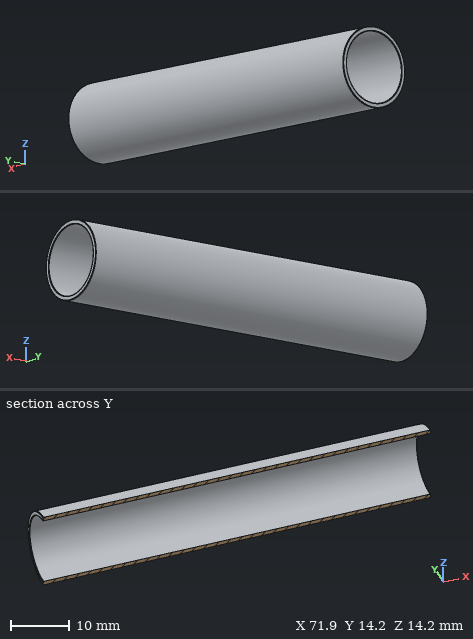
import cadquery as cq

length = 71.9
outer_diameter = 14.2
bore_diameter = 12.6
edge_break = 0.1

tube = (
    cq.Workplane("YZ", origin=(-length / 2, 0, 0))
    .circle(outer_diameter / 2)
    .circle(bore_diameter / 2)
    .extrude(length)
)

result = tube.faces("<X or >X").edges().chamfer(edge_break)